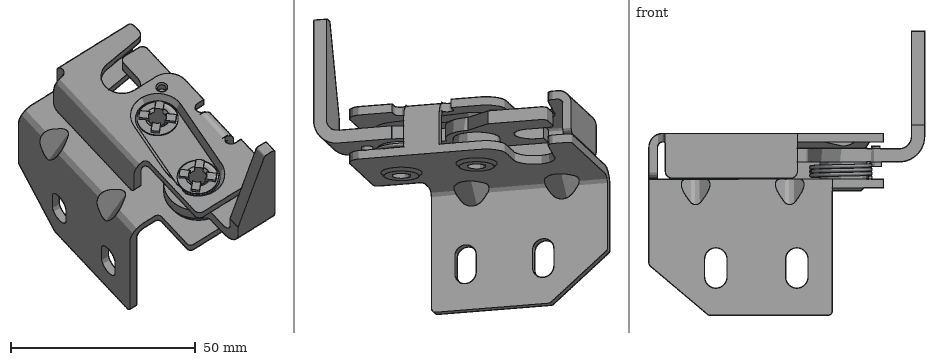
import cadquery as cq
import math

sheet = 2.4
corner_radius = 1.2

depth = 37.2
plate_right = 63.5
flange_right = 49.7
base_top = 36.9
base_bottom = base_top - sheet
base_bend = 4.8
step_y = 9.85
flange_chamfer_x = 16.2
flange_chamfer_z = 13.7
slot_width = 6.0
slot_length = 10.85
slot_z = 12.85
slot_xs = (18.15, 40.05)
gusset_xs = (12.7, 38.1)
gusset_setback = 6.9
gusset_radius = 2.3

cover_top = 49.3
cover_bottom = cover_top - sheet
cover_bend = 3.85
wall_clearance = 0.2
wall_bottom = base_top + wall_clearance
wall_front = 13.1
lip_front = 8.6
lip_left = 4.45
lip_right = 40.2
cover_front = 12.8
cover_back_radius = 4.0
cover_front_radius = 1.7
fold_corner_radius = 1.45
left_relief_radius = 2.0
lip_corner_radius = 1.85
tab_left = 37.2
tab_right = 47.2
tab_bottom = base_top
tab_relief_width = 3.3
tab_relief_depth = 3.8

notch_center = (14.3, 24.4)
notch_radius = 5.7
notch_lean = 8.0
notch_right_round = 5.7
notch_left_round = 2.0

claw_pivot = (30.5, 24.1)
lever_pivot = (52.7, 20.8)
pivot_bore = 4.9
rivet_flare = 6.6
rivet_crown = 8.45
rivet_head = 11.15
head_height = 0.85
crown_height = 0.7
crown_edge = 0.3
tooth_height = 1.4
tooth_span = 10.15
tooth_width = 2.3
bushing_diameter = 12.7

pocket_radius = 7.3
pocket_depth = 1.6
pocket_inset = 1.3
pocket_front = 14.45
pilot_center = (23.75, 30.7)
pilot_diameter = 2.3
pilot_rim = 3.15

blade_bottom = 41.5
blade = 3.6
claw_left = 7.1
claw_jaw_left = 13.1
claw_arm_right = 23.45
claw_radius = 8.45
claw_front = 14.6
claw_slot_radius = 4.9
claw_slot_center = (14.8, 24.2)
claw_round = 1.7
lever_radius = 9.2
lever_front = 17.8
lever_back = 30.4
lever_right = 74.65
lever_bend = 6.9
lever_root_round = 1.9
nose_left = 38.45
nose_front = 21.5
nose_root_round = 0.8
handle_top = 76.9
handle_tip_front = 26.8
handle_slope_bottom = 51.5
handle_round = 1.0

spring_center = (52.0, 21.7)
spring_diameter = 16.9
wire = 1.0
spring_pitch = 1.1
spring_turns = 3
spring_sink = 0.04
anchor_center = (61.4, 23.8)
anchor_diameter = 2.3
hook_diameter = 3.15
anchor_rise = 0.7
anchor_drop = 1.2

overcut = 0.8
tall = 2 * handle_top


def folded_profile(plane, start, edge, top, end, bottom, bend):
    """L section of a sheet that runs level from `end` to `edge`, then folds down to `bottom`."""
    side = 1 if end > edge else -1
    inner = bend - sheet
    outer_diag = bend * (1 - math.sqrt(0.5))
    inner_diag = sheet + inner * (1 - math.sqrt(0.5))
    return (
        cq.Workplane(plane, origin=start)
        .moveTo(end, top)
        .lineTo(edge + side * bend, top)
        .threePointArc((edge + side * outer_diag, top - outer_diag), (edge, top - bend))
        .lineTo(edge, bottom)
        .lineTo(edge + side * sheet, bottom)
        .lineTo(edge + side * sheet, top - bend)
        .threePointArc((edge + side * inner_diag, top - inner_diag), (edge + side * bend, top - sheet))
        .lineTo(end, top - sheet)
        .close()
    )


def corners(solid, point, direction, radius):
    """Round the edge parallel to `direction` that lies nearest to `point`."""
    return solid.edges(direction).edges(cq.NearestToPointSelector(point)).fillet(radius)


def cylinder(center, diameter, bottom, top):
    return (
        cq.Workplane("XY", origin=(center[0], center[1], bottom))
        .circle(diameter / 2)
        .extrude(top - bottom)
    )


def upright_block(left, front, right, back):
    """Tall block over a plan rectangle, used to trim other bodies."""
    return (
        cq.Workplane("XY", origin=(left, front, 0))
        .box(right - left, back - front, tall, centered=False)
    )


def striker_notch():
    """Prism of the rear notch, with rounded mouth corners."""
    cx, cy = notch_center
    lean = math.radians(notch_lean)
    left_tangent = (cx - notch_radius * math.cos(lean), cy - notch_radius * math.sin(lean))
    right = cx + notch_radius
    mouth_left = left_tangent[0] - (depth - left_tangent[1]) * math.tan(lean)
    opening = (
        cq.Workplane("XY")
        .moveTo(*left_tangent)
        .threePointArc((cx, cy - notch_radius), (right, cy))
        .lineTo(right, depth)
        .lineTo(mouth_left, depth)
        .close()
        .extrude(tall)
    )
    diag = notch_right_round * (1 - math.sqrt(0.5))
    right_mouth = (
        cq.Workplane("XY")
        .moveTo(right, depth - notch_right_round)
        .threePointArc((right + diag, depth - diag), (right + notch_right_round, depth))
        .lineTo(right, depth)
        .close()
        .extrude(tall)
    )
    trim = notch_left_round * math.tan((math.pi / 2 - lean) / 2)
    left_end = (mouth_left + trim * math.sin(lean), depth - trim * math.cos(lean))
    left_mouth = (
        cq.Workplane("XY")
        .moveTo(mouth_left - trim, depth)
        .radiusArc(left_end, notch_left_round)
        .lineTo(mouth_left, depth)
        .close()
        .extrude(tall)
    )
    return opening.union(right_mouth).union(left_mouth)


def gusset_trough(x, drop, radius):
    """45 degree V with a rounded root, filled on its outer side; `drop` lowers the root line."""
    direction = cq.Vector(0, -1, -1)
    root = (x, 0, base_top - gusset_setback - drop)
    plane = cq.Plane(origin=root, xDir=(1, 0, 0), normal=direction)
    flank = radius * math.sqrt(0.5)
    reach = 15.4
    shoulder = radius - flank
    return (
        cq.Workplane(plane)
        .moveTo(-flank, shoulder)
        .threePointArc((0, 0), (flank, shoulder))
        .lineTo(flank + reach, shoulder + reach)
        .lineTo(-flank - reach, shoulder + reach)
        .close()
        .extrude(reach, both=True)
    )


def base_bracket():
    bracket = folded_profile("YZ", (0, 0, 0), 0, base_top, depth, 0, base_bend).extrude(plate_right)
    outline = (
        cq.Workplane("XY")
        .polyline([(0, 0), (flange_right, 0), (flange_right, step_y), (plate_right, step_y),
                   (plate_right, depth), (0, depth)])
        .close()
        .extrude(base_top)
    )
    outline = corners(outline, (flange_right, step_y, 0), "|Z", corner_radius)
    outline = corners(outline, (plate_right, step_y, 0), "|Z", corner_radius)
    outline = corners(outline, (0, depth, 0), "|Z", corner_radius)
    outline = corners(outline, (plate_right, depth, 0), "|Z", cover_back_radius)
    bracket = bracket.intersect(outline)

    elevation = (
        cq.Workplane("XZ")
        .polyline([(0, flange_chamfer_z), (flange_chamfer_x, 0), (plate_right, 0),
                   (plate_right, base_top), (0, base_top)])
        .close()
        .extrude(-depth)
    )
    elevation = corners(elevation, (0, 0, flange_chamfer_z), "|Y", corner_radius)
    elevation = corners(elevation, (flange_chamfer_x, 0, 0), "|Y", corner_radius)
    bracket = bracket.intersect(elevation)
    bracket = corners(bracket, (flange_right, 0, 0), "|Y", corner_radius)

    mid = sheet / 2
    backing = (
        cq.Workplane("YZ")
        .moveTo(mid, base_top / 2)
        .lineTo(mid, base_top - base_bend)
        .radiusArc((base_bend, base_top - mid), base_bend - mid)
        .lineTo(depth / 2, base_top - mid)
        .lineTo(depth / 2, base_top / 2)
        .close()
        .extrude(flange_right)
    )
    inner_drop = sheet * math.sqrt(2)
    for x in gusset_xs:
        rib = gusset_trough(x, inner_drop, gusset_radius + sheet).intersect(backing)
        bracket = bracket.union(rib).cut(gusset_trough(x, 0, gusset_radius))

    slots = (
        cq.Workplane("XZ")
        .pushPoints([(x, slot_z) for x in slot_xs])
        .slot2D(slot_length, slot_width, 90)
        .extrude(-sheet - overcut)
    )
    return bracket.cut(slots).cut(striker_notch())


def pocket_form(top, floor):
    """Tapered hull of two circles about the pivots, cut straight along the front."""
    ax, ay = claw_pivot
    bx, by = lever_pivot
    length = math.hypot(bx - ax, by - ay)
    angle = math.degrees(math.atan2(by - ay, bx - ax))
    middle = ((ax + bx) / 2, (ay + by) / 2)
    taper = math.degrees(math.atan2(pocket_inset, top - floor))
    hull = (
        cq.Workplane("XY", origin=(middle[0], middle[1], top))
        .slot2D(length + 2 * pocket_radius, 2 * pocket_radius, angle)
        .extrude(floor - top, taper=taper)
    )
    return hull.intersect(upright_block(0, pocket_front, plate_right, depth))


def cover():
    wall = folded_profile("XZ", (0, 0, 0), 0, cover_top, plate_right, wall_bottom, cover_bend)
    wall = wall.extrude(-depth)
    lip = folded_profile("YZ", (0, 0, 0), lip_front, cover_top, depth, wall_bottom, cover_bend)
    lip = lip.extrude(plate_right)
    lip_zone = upright_block(cover_bend, 0, plate_right, lip_front + cover_bend)
    wall_zone = upright_block(0, lip_front + cover_bend, cover_bend, depth)
    wall = wall.cut(lip_zone)
    lip = lip.cut(wall_zone)
    outline = (
        cq.Workplane("XY")
        .polyline([(0, wall_front), (lip_left, wall_front), (lip_left, lip_front), (lip_right, lip_front),
                   (lip_right, cover_front), (plate_right, cover_front), (plate_right, depth), (0, depth)])
        .close()
        .extrude(cover_top)
    )
    outline = corners(outline, (lip_left, wall_front, 0), "|Z", left_relief_radius)
    outline = corners(outline, (lip_right, cover_front, 0), "|Z", fold_corner_radius)
    outline = corners(outline, (plate_right, cover_front, 0), "|Z", cover_front_radius)
    outline = corners(outline, (plate_right, depth, 0), "|Z", cover_back_radius)
    body = wall.union(lip).intersect(outline)
    for x in (lip_left, lip_right):
        body = corners(body, (x, lip_front, wall_bottom), "|Y", lip_corner_radius)
    for y in (wall_front, depth):
        body = corners(body, (0, y, wall_bottom), "|X", fold_corner_radius)

    tab_zone = upright_block(tab_left, depth - cover_bend, tab_right, depth)
    tab = folded_profile("YZ", (tab_left, 0, 0), depth, cover_top, depth / 2, tab_bottom, cover_bend)
    tab = tab.extrude(tab_right - tab_left)
    body = body.cut(tab_zone).union(tab)
    for x in (tab_left - tab_relief_width / 2, tab_right + tab_relief_width / 2):
        relief = (
            cq.Workplane("XY")
            .center(x, depth)
            .slot2D(2 * tab_relief_depth, tab_relief_width, 90)
            .extrude(tall)
        )
        body = body.cut(relief)

    body = body.cut(striker_notch())
    body = body.union(pocket_form(cover_bottom + overcut / 2, cover_bottom - pocket_depth))
    body = body.cut(pocket_form(cover_top, cover_top - pocket_depth))
    pilot = (
        cq.Workplane("XY", origin=(*pilot_center, cover_top))
        .circle(pilot_rim / 2)
        .workplane(offset=-(pilot_rim - pilot_diameter) / 2)
        .circle(pilot_diameter / 2)
        .loft()
        .union(cylinder(pilot_center, pilot_diameter, cover_bottom - overcut, cover_top))
    )
    return body.cut(pilot)


def claw():
    px, py = claw_pivot
    sx, sy = claw_slot_center
    top_slot = sy + claw_slot_radius
    bottom_slot = sy - claw_slot_radius
    plate = (
        cq.Workplane("XY", origin=(0, 0, blade_bottom))
        .moveTo(claw_left, depth)
        .lineTo(claw_arm_right, depth)
        .lineTo(px, py + claw_radius)
        .threePointArc((px + claw_radius, py), (px, py - claw_radius))
        .lineTo(px, claw_front)
        .lineTo(claw_jaw_left, claw_front)
        .lineTo(claw_jaw_left, bottom_slot)
        .lineTo(sx, bottom_slot)
        .threePointArc((sx + claw_slot_radius, sy), (sx, top_slot))
        .lineTo(claw_left, top_slot)
        .close()
        .extrude(blade)
    )
    for y in (depth, top_slot):
        plate = corners(plate, (claw_left, y, blade_bottom), "|Z", claw_round)
    return plate


def lever():
    px, py = lever_pivot
    blade_top = blade_bottom + blade
    inner = lever_bend - blade
    bend_start = lever_right - lever_bend
    bend_end = blade_bottom + lever_bend
    diag = math.sqrt(0.5)
    arm = (
        cq.Workplane("XZ", origin=(0, lever_front, 0))
        .moveTo(px, blade_bottom)
        .lineTo(bend_start, blade_bottom)
        .threePointArc((bend_start + lever_bend * diag, bend_end - lever_bend * diag),
                       (lever_right, bend_end))
        .lineTo(lever_right, handle_top)
        .lineTo(lever_right - blade, handle_top)
        .lineTo(lever_right - blade, bend_end)
        .threePointArc((bend_start + inner * diag, bend_end - inner * diag), (bend_start, blade_top))
        .lineTo(px, blade_top)
        .close()
        .extrude(lever_front - lever_back)
    )
    taper = (
        cq.Workplane("YZ")
        .polyline([(lever_front, handle_slope_bottom), (lever_front, handle_top),
                   (handle_tip_front, handle_top)])
        .close()
        .extrude(lever_right)
    )
    arm = arm.cut(taper)
    for y in (handle_tip_front, lever_back):
        arm = corners(arm, (lever_right, y, handle_top), "|X", handle_round)
    nose = (
        cq.Workplane("XY", origin=(nose_left, nose_front, blade_bottom))
        .box(px - nose_left, claw_pivot[1] - nose_front, blade, centered=False)
    )
    plate = arm.union(cylinder(lever_pivot, 2 * lever_radius, blade_bottom, blade_top))
    root_x = px + math.sqrt(lever_radius ** 2 - (py - lever_front) ** 2)
    plate = corners(plate, (root_x, lever_front, blade_bottom), "|Z", lever_root_round)
    plate = plate.union(nose)
    nose_x = px - math.sqrt(lever_radius ** 2 - (py - nose_front) ** 2)
    plate = corners(plate, (nose_x, nose_front, blade_bottom), "|Z", nose_root_round)
    anchor = cylinder(anchor_center, anchor_diameter, blade_bottom, blade_top + anchor_rise)
    hook = cylinder(anchor_center, hook_diameter, blade_bottom - anchor_drop, blade_bottom)
    return plate.union(anchor).union(hook)


def rivet(center):
    """Hollow rivet: chamfered head below the base, flared crown with four teeth in the pocket."""
    pocket_floor = cover_top - pocket_depth
    crown_top = pocket_floor + crown_height
    head_bottom = base_bottom - head_height
    bore = pivot_bore / 2
    bush = bushing_diameter / 2
    body = (
        cq.Workplane("XZ")
        .polyline([
            (bore, head_bottom),
            (rivet_head / 2 - head_height, head_bottom),
            (rivet_head / 2, base_bottom),
            (rivet_head / 2, base_top),
            (bush, base_top),
            (bush, cover_bottom - pocket_depth),
            (rivet_head / 2, cover_bottom - pocket_depth),
            (rivet_head / 2, pocket_floor + crown_edge),
            (rivet_crown / 2, crown_top),
            (rivet_flare / 2, crown_top),
            (bore, pocket_floor),
        ])
        .close()
        .revolve(360, (0, 0, 0), (0, 1, 0))
    )
    teeth = (
        cq.Workplane("XY", origin=(0, 0, pocket_floor))
        .transformed(rotate=(0, 0, 45))
        .rect(tooth_span, tooth_width)
        .extrude(tooth_height)
    )
    teeth = teeth.union(teeth.rotate((0, 0, 0), (0, 0, 1), 90))
    teeth = teeth.intersect(cylinder((0, 0), tooth_span, pocket_floor, cover_top))
    body = body.union(teeth)
    return body.translate((*center, 0))


def pivot_hole(center):
    return cylinder(center, pivot_bore, 0, cover_top)


def spring():
    coil_radius = (spring_diameter - wire) / 2
    start_z = base_top + wire / 2 - spring_sink
    path = cq.Wire.makeHelix(spring_pitch, spring_pitch * spring_turns, coil_radius)
    coil = (
        cq.Workplane("XZ", origin=(coil_radius, 0, 0))
        .circle(wire / 2)
        .sweep(cq.Workplane("XY").newObject([path]), isFrenet=True)
    )
    return coil.translate((*spring_center, start_z))


result = base_bracket().union(cover()).union(claw()).union(lever())
for pivot in (claw_pivot, lever_pivot):
    result = result.union(rivet(pivot)).cut(pivot_hole(pivot))
result = result.union(spring())